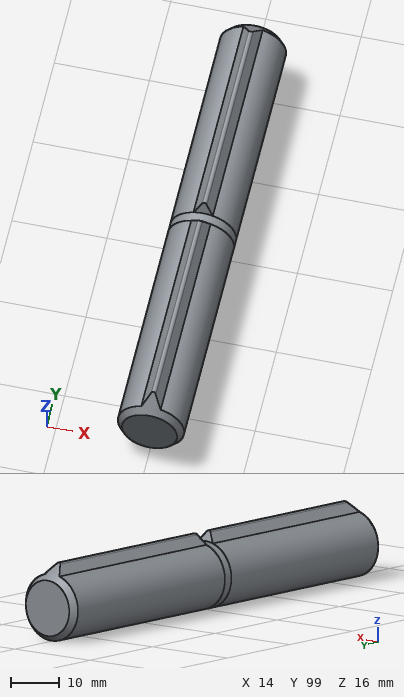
import cadquery as cq
import math

length = 99.0
barrel_diameter = 14.0
height = 16.0
washer_thickness = 2.1

end_chamfer_depth = 1.2
end_chamfer_length = 1.4

rib_half_angle = 36.0
rib_tip_radius = 0.6
rib_root_depth = 1.4

relief_angle = 60.0

envelope_clearance = 1.0

barrel_radius = barrel_diameter / 2
rib_top = height - barrel_radius
barrel_start = washer_thickness / 2
barrel_end = length / 2
barrel_length = barrel_end - barrel_start
envelope_radius = rib_top + envelope_clearance


def cylinder_along_y(start, cylinder_length):
    """Cylinder of the barrel diameter on the Y axis, growing toward +Y."""
    plane = cq.Workplane("XZ", origin=(0, start, 0))
    return plane.circle(barrel_radius).extrude(-cylinder_length)


def make_rib():
    """Wedge with a round tip, its base buried in the barrel."""
    angle = math.radians(rib_half_angle)
    tip_centre = rib_top - rib_tip_radius
    tangent_x = rib_tip_radius * math.cos(angle)
    tangent_z = tip_centre + rib_tip_radius * math.sin(angle)
    base_z = barrel_radius - rib_root_depth
    base_x = tangent_x + (tangent_z - base_z) * math.tan(angle)
    return (
        cq.Workplane("XZ", origin=(0, barrel_start, 0))
        .moveTo(-base_x, base_z)
        .lineTo(-tangent_x, tangent_z)
        .threePointArc((0, rib_top), (tangent_x, tangent_z))
        .lineTo(base_x, base_z)
        .close()
        .extrude(-barrel_length)
    )


def make_envelope():
    """Turned body that shapes both ends of a barrel and its rib."""
    end_radius = barrel_radius - end_chamfer_depth
    relief_length = (envelope_radius - barrel_radius) / math.tan(math.radians(relief_angle))
    cone_length = (envelope_radius - end_radius) * end_chamfer_length / end_chamfer_depth
    outline = [
        (0, barrel_start),
        (barrel_radius, barrel_start),
        (envelope_radius, barrel_start + relief_length),
        (envelope_radius, barrel_end - cone_length),
        (end_radius, barrel_end),
        (0, barrel_end),
    ]
    return cq.Workplane("XY").polyline(outline).close().revolve(360, (0, 0, 0), (0, 1, 0))


def make_barrel():
    """Barrel with its rib on the +Y side of the washer."""
    ribbed = cylinder_along_y(barrel_start, barrel_length).union(make_rib())
    return ribbed.intersect(make_envelope())


def make_washer():
    """Plain disc between the two barrels."""
    return cylinder_along_y(-barrel_start, washer_thickness)


barrels = [make_barrel().rotate((0, 0, 0), (0, 0, 1), turn) for turn in (0, 180)]
washer = make_washer()

result = cq.Compound.makeCompound([*[barrel.solids().val() for barrel in barrels], washer.val()])